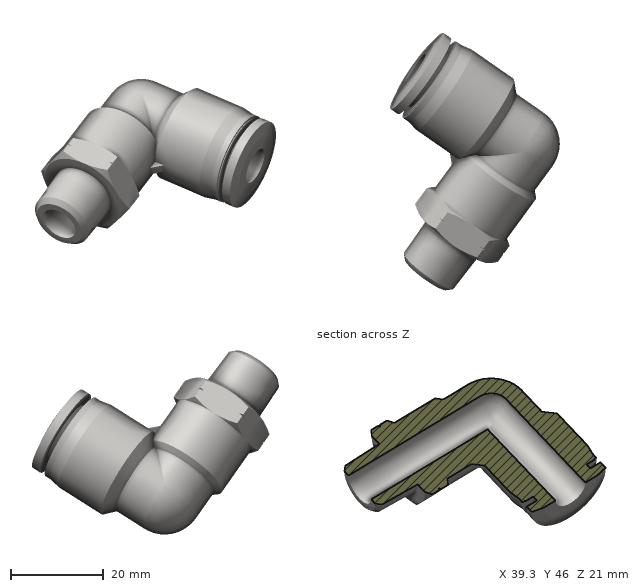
import cadquery as cq
import math


overall_length = 46
socket_diameter = 21.0
socket_radius = socket_diameter / 2

neck_radius = 8.2
bore_radius = 4.0

swivel_neck_end = 6.7
body_start = 7.95
body_diameter = 19.0
body_radius = body_diameter / 2

hex_start = 19.0
hex_width = 6.05
hex_end = hex_start + hex_width
hex_corner_radius = body_radius / math.cos(math.radians(30))
hex_chamfer_angle = 30
hex_chamfer_width = (hex_corner_radius - body_radius) * math.tan(math.radians(hex_chamfer_angle))
corner_notch_depth = 0.45
corner_notch_half_width = 0.2

thread_root_radius = 6.9
thread_tip_radius = 6.62
thread_tip_chamfer = 1.05
thread_end = overall_length - socket_radius

socket_cone_start = 7.2
socket_start = socket_cone_start + socket_radius - neck_radius
socket_taper_start = 20.5
socket_lip_start = 23.0
socket_end = 24.4
lip_radius = 10.05
lip_step_radius = 9.4
lip_step_end = 24.5
release_neck_radius = 7.25
release_flange_start = 25.75
release_flange_radius = 10.0
release_bevel_start = 27.7
release_face_radius = 7.15
release_end = 28.3

rib_thickness = 2.02
rib_leg = rib_thickness


def turned_leg_y(profile):
    """Revolve (radius, distance) points about Y, with distance along -Y."""
    points = [(radius, -distance) for radius, distance in profile]
    return cq.Workplane("XY").polyline(points).close().revolve(360, (0, 0), (0, 1))


def turned_leg_x(profile):
    """Revolve (radius, distance) points about X, with distance along +X."""
    points = [(distance, radius) for radius, distance in profile]
    return cq.Workplane("XY").polyline(points).close().revolve(360, (0, 0), (1, 0))


def make_swivel_leg():
    return turned_leg_y([
        (0, 0),
        (neck_radius, 0),
        (neck_radius, swivel_neck_end),
        (body_radius, body_start),
        (body_radius, hex_end),
        (thread_root_radius, hex_end),
        (thread_tip_radius, thread_end - thread_tip_chamfer),
        (thread_tip_radius - thread_tip_chamfer, thread_end),
        (0, thread_end),
    ])


def make_hexagon():
    prism = (
        cq.Workplane("XZ", origin=(0, -hex_start, 0))
        .polygon(6, 2 * hex_corner_radius)
        .extrude(hex_width)
    )
    hex_middle = hex_start + hex_width / 2
    envelope = turned_leg_y([
        (0, hex_start),
        (body_radius, hex_start),
        (hex_corner_radius, hex_start + hex_chamfer_width),
        (hex_corner_radius, hex_middle - corner_notch_half_width),
        (hex_corner_radius - corner_notch_depth, hex_middle),
        (hex_corner_radius, hex_middle + corner_notch_half_width),
        (hex_corner_radius, hex_end - hex_chamfer_width),
        (body_radius, hex_end),
        (0, hex_end),
    ])
    return prism.intersect(envelope)


def make_tube_leg():
    return turned_leg_x([
        (0, 0),
        (neck_radius, 0),
        (neck_radius, socket_cone_start),
        (socket_radius, socket_start),
        (socket_radius, socket_taper_start),
        (lip_radius, socket_lip_start),
        (lip_radius, socket_end),
        (lip_step_radius, socket_end),
        (lip_step_radius, lip_step_end),
        (release_neck_radius, lip_step_end),
        (release_neck_radius, release_flange_start),
        (release_flange_radius, release_flange_start),
        (release_flange_radius, release_bevel_start),
        (release_face_radius, release_end),
        (0, release_end),
    ])


def make_rib():
    inner_x = socket_start - rib_leg
    inner_y = rib_leg - socket_radius
    tip_x = body_radius + rib_leg
    tip_y = -socket_radius - rib_leg
    return (
        cq.Workplane("XY")
        .polyline([
            (inner_x, inner_y),
            (tip_x, inner_y),
            (tip_x, -socket_radius),
            (body_radius, tip_y),
            (inner_x, tip_y),
        ])
        .close()
        .extrude(rib_thickness / 2, both=True)
    )


def make_bore():
    swivel_bore = turned_leg_y([(0, 0), (bore_radius, 0), (bore_radius, thread_end), (0, thread_end)])
    tube_bore = turned_leg_x([(0, 0), (bore_radius, 0), (bore_radius, release_end), (0, release_end)])
    return swivel_bore.union(tube_bore).union(cq.Workplane("XY").sphere(bore_radius))


outer_body = (
    make_swivel_leg()
    .union(make_tube_leg())
    .union(cq.Workplane("XY").sphere(neck_radius))
    .union(make_hexagon())
    .union(make_rib())
)
result = outer_body.cut(make_bore())